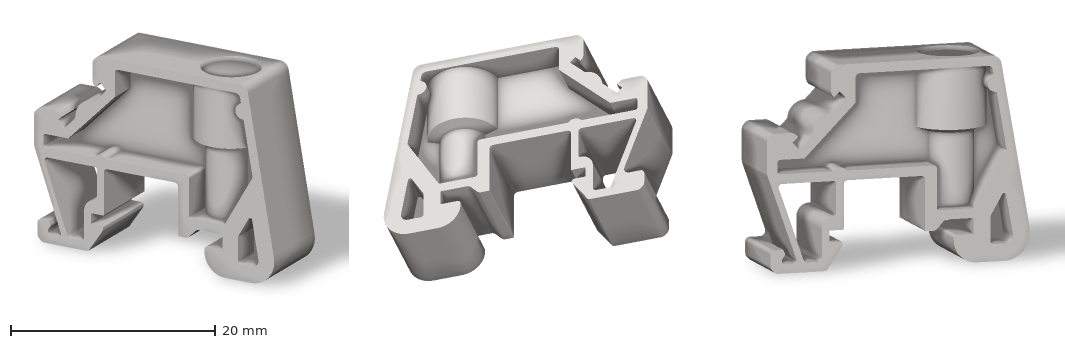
import cadquery as cq
import math

LENGTH = 27.08
THICKNESS = 8.0
HEIGHT = 20.45
MID_Y = THICKNESS / 2

WALL = 0.97
UNDERSIDE_Z = 8.9
LEDGE_Z = UNDERSIDE_Z + WALL
ROOF_Z = HEIGHT - WALL
POCKET_DEPTH = 3.11
POST_LEFT_X = 7.1
POST_RIGHT_X = 7.88
JAW_Z = 2.87
CORNER_CUT = 0.55
CORNER_BLEND = 0.6

FLANK_TILT = math.radians(10)
FOOT_RADIUS = 2.65
FLANK_BASE_X = LENGTH - FOOT_RADIUS + FOOT_RADIUS * (1 / math.cos(FLANK_TILT) + math.tan(FLANK_TILT))
FLANK_WALL = 1.0
BRACE_TILT = math.radians(30)

SPRING_TOP_Z = 9.85
SPRING_SLOPE = 0.352
SPRING_WALL = 0.7
LIP_Z = 2.35

GROOVE_X = 5.75
GROOVE_Z = 14.65
GROOVE_HALF_LENGTH = 3.4
GROOVE_LIP_HEIGHT = 1.0
MOUTH_HALF_LENGTH = 2.63
GROOVE_FLOOR_BLEND = 0.2
LIP_BLEND = 0.92
GROOVE_STOP = 0.27
GROOVE_STOP_HEIGHT = 0.25
RIB_RADIUS = 1.87
RIB_DEPTH = 1.15
RIB_BLEND = 1.0
TOP_LEFT_X = 6.58
SHOULDER_Z = 13.95

WELL_Z = 5.42
SCREW_X = 19.95
HEAD_BOSS_RADIUS = 3.75
HEAD_BOSS_BOTTOM_Z = 13.25
SHANK_BOSS_RADIUS = 2.52
SHANK_BOSS_TOP_Z = 12.78
RECESS_RADIUS = 3.05
RECESS_FLOOR_RADIUS = 2.75
RECESS_DEPTH = 0.38

PAD_RADIUS = 0.8
PAD_BLEND = 0.15
LEDGE_PAD_RISE = 0.35
FLANK_PAD_X = 23.5
FLANK_PAD_Z = 17.65
SLOT_STOP = 0.97


def flank_x(z):
    """X of the outer right flank at height z."""
    return FLANK_BASE_X - z * math.tan(FLANK_TILT)


def spring_x(z):
    """X of the outer face of the spring wall at height z."""
    return (SPRING_TOP_Z - z) * SPRING_SLOPE


def brace_top(x, z, wall):
    """Point where a brace line rising from (x, z) meets a line set in from the flank by wall."""
    rise = (flank_x(z) - wall - x) / (math.tan(BRACE_TILT) + math.tan(FLANK_TILT))
    return x + rise * math.tan(BRACE_TILT), z + rise


def prism(corners, y_start, y_end):
    """Extrude a closed XZ outline along Y; each corner is (x, z, rounding radius)."""
    points = [cq.Vector(x, z, 0) for x, z, _ in corners]
    sketch = None
    plane = cq.Workplane("XZ", origin=(0, y_start, 0))
    for i, (_, _, radius) in enumerate(corners):
        corner = points[i]
        to_previous = (points[i - 1] - corner).normalized()
        to_next = (points[(i + 1) % len(points)] - corner).normalized()
        half_angle = to_previous.getAngle(to_next) / 2
        setback = radius / math.tan(half_angle)
        start = corner + to_previous * setback
        end = corner + to_next * setback
        sketch = plane.moveTo(start.x, start.y) if sketch is None else sketch.lineTo(start.x, start.y)
        if radius > 0:
            bisector = (to_previous + to_next).normalized()
            middle = corner + bisector * (radius / math.sin(half_angle) - radius)
            sketch = sketch.threePointArc((middle.x, middle.y), (end.x, end.y))
    return sketch.close().extrude(y_start - y_end)


def rod(x, z, radius, y_start, y_end):
    """Round bar along Y."""
    return cq.Workplane("XZ", origin=(x, y_start, z)).circle(radius).extrude(y_start - y_end)


def blend_edges(solid, x, z, reach, radius):
    """Round the edges along Y that lie within reach of (x, z)."""
    nearby = cq.selectors.BoxSelector((x - reach, 0, z - reach), (x + reach, THICKNESS, z + reach))
    return solid.edges("|Y").edges(nearby).fillet(radius)


def groove_point(along, above):
    """XZ point in the groove frame: along its floor and above it."""
    return GROOVE_X + (along - above) / math.sqrt(2), GROOVE_Z + (along + above) / math.sqrt(2)


def make_body():
    """Full-thickness silhouette, open between the lips but without the undercut marker groove."""
    low_lip_x, low_lip_z = groove_point(-MOUTH_HALF_LENGTH, GROOVE_LIP_HEIGHT)
    high_lip_x, high_lip_z = groove_point(MOUTH_HALF_LENGTH, GROOVE_LIP_HEIGHT)
    jaw_tip_x = 19.2
    jaw_back_x = 21.23
    jaw_roof_z = 4.45
    nose_z = 3.38
    rail_gap_x = 16.22
    hook_tip_x = 7.75
    hook_back_x = 6.4
    hook_roof_z = 4.0
    lip_x = 0.35
    outline = [
        (0, SPRING_TOP_Z, 0.55),
        (0, SHOULDER_Z - CORNER_CUT, CORNER_BLEND),
        (CORNER_CUT, SHOULDER_Z, CORNER_BLEND),
        (low_lip_x + low_lip_z - SHOULDER_Z, SHOULDER_Z, LIP_BLEND),
        (low_lip_x, low_lip_z, 0),
        (high_lip_x, high_lip_z, 0),
        (TOP_LEFT_X, high_lip_x + high_lip_z - TOP_LEFT_X, LIP_BLEND),
        (TOP_LEFT_X, HEIGHT - CORNER_CUT, CORNER_BLEND),
        (TOP_LEFT_X + CORNER_CUT, HEIGHT, CORNER_BLEND),
        (flank_x(HEIGHT), HEIGHT, 0.95),
        (FLANK_BASE_X, 0, FOOT_RADIUS),
        (jaw_tip_x, 0, 2.35),
        (jaw_tip_x, JAW_Z, 0.32),
        (jaw_back_x, JAW_Z, 0),
        (jaw_back_x, jaw_roof_z, 0),
        (18.3, jaw_roof_z, 0.55),
        (17.33, nose_z, 0.55),
        (rail_gap_x, nose_z, 0.14),
        (rail_gap_x, UNDERSIDE_Z, 0.38),
        (POST_RIGHT_X, UNDERSIDE_Z, 0.38),
        (POST_RIGHT_X, hook_roof_z, 0.1),
        (hook_back_x, hook_roof_z, 0),
        (hook_back_x, JAW_Z, 0),
        (hook_tip_x, JAW_Z, 0.2),
        (hook_tip_x, 2.4, 0.2),
        (6.1, 0, 0.2),
        (lip_x + CORNER_CUT, 0, CORNER_BLEND),
        (lip_x, CORNER_CUT, CORNER_BLEND),
        (lip_x, LIP_Z, 0.4),
        (spring_x(LIP_Z), LIP_Z, 0.55),
    ]
    return prism(outline, 0, THICKNESS)


def make_groove_prism(floor_height, floor_blend, y_end):
    """Undercut space from the given height above the groove floor up to the lips."""
    outline = [
        (*groove_point(-GROOVE_HALF_LENGTH, floor_height), floor_blend),
        (*groove_point(-GROOVE_HALF_LENGTH, GROOVE_LIP_HEIGHT), 0),
        (*groove_point(GROOVE_HALF_LENGTH, GROOVE_LIP_HEIGHT), 0),
        (*groove_point(GROOVE_HALF_LENGTH, floor_height), floor_blend),
    ]
    rib = rod(*groove_point(0, -RIB_DEPTH), RIB_RADIUS, 0, y_end)
    return prism(outline, 0, y_end).cut(rib)


def make_marker_groove():
    """Undercut groove with a raised rib on its floor and a low stop at the rear."""
    front_y = THICKNESS - GROOVE_STOP
    groove = make_groove_prism(0, GROOVE_FLOOR_BLEND, front_y)
    rib_half_width = math.sqrt(RIB_RADIUS**2 - RIB_DEPTH**2)
    edge_reach = 0.03
    for along in (-rib_half_width, rib_half_width):
        groove = blend_edges(groove, *groove_point(along, 0), edge_reach, RIB_BLEND)
    return groove.union(make_groove_prism(GROOVE_STOP_HEIGHT, 0, THICKNESS))


def make_window():
    """Opening through the left foot, between spring wall and post."""
    corner_radius = 1.25
    inner_x = 5.63
    step_z = 5.42
    outline = [
        (spring_x(UNDERSIDE_Z) + SPRING_WALL, UNDERSIDE_Z, 0.32),
        (POST_LEFT_X, UNDERSIDE_Z, 0.3),
        (POST_LEFT_X, step_z, 0.1),
        (inner_x, step_z, corner_radius),
        (inner_x, WALL, 0.38),
        (spring_x(WALL) + SPRING_WALL, WALL, 0.43),
    ]
    return prism(outline, 0, THICKNESS)


def make_spring_slot():
    """Slot behind the release lip, closed at the rear."""
    slot_top = 3.25
    mouth_x = 1.68
    undercut_x = 1.55
    outline = [
        (mouth_x, slot_top, 0),
        (mouth_x, LIP_Z, 0),
        (1.87, 1.87, 0.22),
        (undercut_x, 1.4, 0.15),
        (undercut_x, WALL, 0.2),
        (spring_x(WALL), WALL, 0.2),
        (spring_x(slot_top), slot_top, 0),
    ]
    return prism(outline, 0, THICKNESS - SLOT_STOP)


def make_screw_column():
    """Stepped round column with a short cone under the screw head."""
    return (
        cq.Workplane("XZ", origin=(SCREW_X, MID_Y, 0))
        .moveTo(0, WELL_Z)
        .lineTo(SHANK_BOSS_RADIUS, WELL_Z)
        .lineTo(SHANK_BOSS_RADIUS, SHANK_BOSS_TOP_Z)
        .lineTo(HEAD_BOSS_RADIUS, HEAD_BOSS_BOTTOM_Z)
        .lineTo(HEAD_BOSS_RADIUS, ROOF_Z)
        .lineTo(0, ROOF_Z)
        .close()
        .revolve(360, (0, 0, 0), (0, 1, 0))
    )


def make_main_pocket(y_start, y_end):
    """Main side pocket, leaving the screw column and the two round pads standing."""
    left_x = 9.1
    slope_top_z = 16.57
    arm_x = 1.05
    arm_top_z = 11.32
    well_x = 17.47
    brace_x = 21.42
    brace_end_x, brace_end_z = brace_top(brace_x, WELL_Z, FLANK_WALL)
    outline = [
        (left_x, ROOF_Z, 0.4),
        (flank_x(ROOF_Z) - FLANK_WALL, ROOF_Z, 0.55),
        (brace_end_x, brace_end_z, 0),
        (brace_x, WELL_Z, 0.2),
        (well_x, WELL_Z, 0.27),
        (well_x, LEDGE_Z, 0.32),
        (arm_x, LEDGE_Z, 0.27),
        (arm_x, arm_top_z, 0.27),
        (left_x - (slope_top_z - arm_top_z), arm_top_z, 0),
        (left_x, slope_top_z, 0),
    ]
    post_x = (POST_LEFT_X + POST_RIGHT_X) / 2
    ledge_pad_z = LEDGE_Z + LEDGE_PAD_RISE - PAD_RADIUS
    pocket = prism(outline, y_start, y_end)
    for pad_x, pad_z in ((post_x, ledge_pad_z), (FLANK_PAD_X, FLANK_PAD_Z)):
        pocket = pocket.cut(rod(pad_x, pad_z, PAD_RADIUS, y_start, y_end))
        pocket = blend_edges(pocket, pad_x, pad_z, PAD_RADIUS, PAD_BLEND)
    return pocket.cut(make_screw_column())


def make_foot_pocket(y_start, y_end):
    """Small pointed pocket in the right foot."""
    left_x = 23.0
    shoulder_z = 4.55
    floor_z = 1.73
    flank_wall = 1.85
    tip_x, tip_z = brace_top(left_x, shoulder_z, flank_wall)
    outline = [
        (left_x, shoulder_z, 0),
        (tip_x, tip_z, 0.22),
        (flank_x(floor_z) - flank_wall, floor_z, 0.7),
        (left_x, floor_z, 0.27),
    ]
    return prism(outline, y_start, y_end)


def make_screw_recess():
    """Shallow tapered recess in the roof above the screw column."""
    return (
        cq.Workplane("XY", origin=(SCREW_X, MID_Y, HEIGHT))
        .circle(RECESS_RADIUS)
        .workplane(offset=-RECESS_DEPTH)
        .circle(RECESS_FLOOR_RADIUS)
        .loft(ruled=True)
    )


result = make_body().cut(make_marker_groove()).cut(make_window()).cut(make_spring_slot())
for side_start, side_end in ((0, POCKET_DEPTH), (THICKNESS - POCKET_DEPTH, THICKNESS)):
    result = result.cut(make_main_pocket(side_start, side_end)).cut(make_foot_pocket(side_start, side_end))
result = result.cut(make_screw_recess())